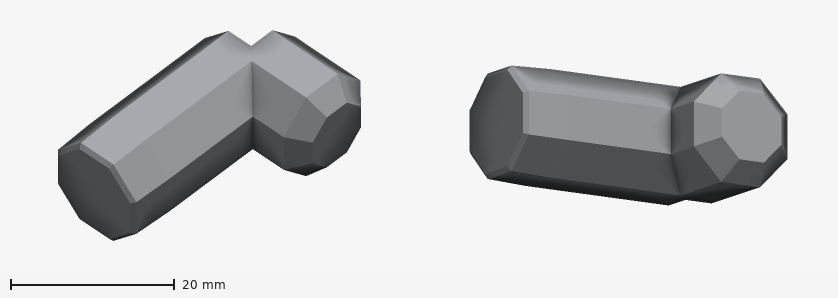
import cadquery as cq
import math

ACROSS_FLATS = 13.58
SIDES = 8

OVERALL_X = 21.29
OVERALL_Y = 34.55

SHANK_LENGTH = 20.6
NOSE_LENGTH = 5.7
NOSE_TAPER_ANGLE = 2.0
TIP_BEVEL_LENGTH = 0.5
TIP_BEVEL_INSET = 0.55

ARM_LENGTH = 13.5
ARM_BEVEL = 2.5

HALF_WIDTH = ACROSS_FLATS / 2
NOSE_FRONT_Y = TIP_BEVEL_LENGTH
SHANK_FRONT_Y = NOSE_FRONT_Y + NOSE_LENGTH
NOSE_INSET = NOSE_LENGTH * math.tan(math.radians(NOSE_TAPER_ANGLE))
NOSE_FRONT_FLATS = ACROSS_FLATS - 2 * NOSE_INSET
TIP_FLATS = NOSE_FRONT_FLATS - 2 * TIP_BEVEL_INSET

ARM_AXIS_Y = OVERALL_Y - HALF_WIDTH
ARM_END_X = OVERALL_X - HALF_WIDTH
ARM_START_X = ARM_END_X - ARM_LENGTH
ARM_BEVEL_START_X = ARM_END_X - ARM_BEVEL
ARM_END_FLATS = ACROSS_FLATS - 2 * ARM_BEVEL


def octagon_points(across_flats):
    """Corners of a regular octagon with flats facing the local axes."""
    half_step = math.pi / SIDES
    half_side = across_flats / 2 * math.tan(half_step)
    corner_radius = math.hypot(across_flats / 2, half_side)
    angles = [(2 * i + 1) * half_step for i in range(SIDES)]
    return [(corner_radius * math.cos(a), corner_radius * math.sin(a)) for a in angles]


def octagonal_segment(plane, length, start_flats, end_flats):
    """Straight or tapered octagonal segment running along the plane normal."""
    return (
        cq.Workplane(plane)
        .polyline(octagon_points(start_flats))
        .close()
        .workplane(offset=length)
        .polyline(octagon_points(end_flats))
        .close()
        .loft(ruled=True)
    )


def make_long_bar():
    """Bar along Y: bevelled tip, slightly tapered nose and straight shank."""
    def section_plane(y):
        return cq.Plane(origin=(0, y, 0), xDir=(1, 0, 0), normal=(0, 1, 0))

    tip = octagonal_segment(section_plane(0), TIP_BEVEL_LENGTH, TIP_FLATS, NOSE_FRONT_FLATS)
    nose = octagonal_segment(section_plane(NOSE_FRONT_Y), NOSE_LENGTH, NOSE_FRONT_FLATS, ACROSS_FLATS)
    shank = octagonal_segment(section_plane(SHANK_FRONT_Y), SHANK_LENGTH, ACROSS_FLATS, ACROSS_FLATS)
    return shank.union(nose).union(tip)


def make_arm():
    """Arm along X, offset past the back of the long bar, with a bevelled free end."""
    def section_plane(x):
        return cq.Plane(origin=(x, ARM_AXIS_Y, 0), xDir=(0, 1, 0), normal=(1, 0, 0))

    straight_length = ARM_LENGTH - ARM_BEVEL
    straight = octagonal_segment(section_plane(ARM_START_X), straight_length, ACROSS_FLATS, ACROSS_FLATS)
    bevel = octagonal_segment(section_plane(ARM_BEVEL_START_X), ARM_BEVEL, ACROSS_FLATS, ARM_END_FLATS)
    return straight.union(bevel)


result = make_long_bar().union(make_arm())